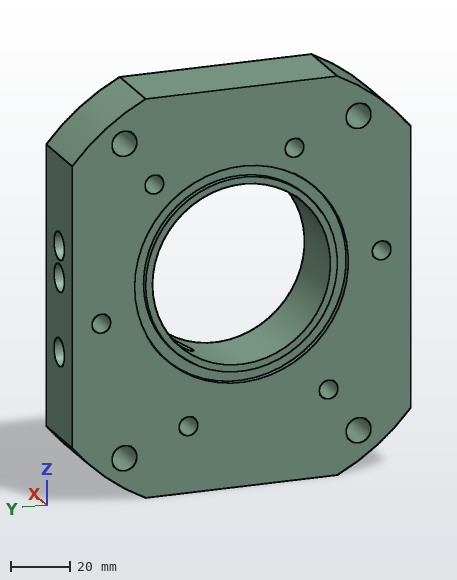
import cadquery as cq
import math

thickness = 25.0
width = 122.0
height = 142.0
corner_circle_radius = 79.0

bore_diameter = 64.0
bore_offset = 4.5
groove_inner_diameter = 69.0
groove_outer_diameter = 77.0
groove_depth = 2.1

corner_hole_diameter = 9.0
corner_hole_y = 42.2
corner_hole_z = 56.0
ring_hole_diameter = 6.7
ring_hole_circle_radius = 51.0
ring_hole_count = 6
ring_hole_start_angle = 172.0

port_diameter = 10.0
port_heights = (-19.9, 6.5, 17.9)

front_x = -thickness / 2


def disc(diameter, y, z, depth):
    """Cylinder along X starting on the -X face of the plate."""
    return (
        cq.Workplane("YZ", origin=(front_x, y, z))
        .circle(diameter / 2)
        .extrude(depth)
    )


def side_port(diameter, z):
    """Cylinder along Y from the bore axis plane out through the +Y side."""
    return (
        cq.Workplane("XZ", origin=(0, 0, z))
        .circle(diameter / 2)
        .extrude(-width / 2)
    )


plate = cq.Workplane("YZ", origin=(front_x, 0, 0)).rect(width, height).extrude(thickness)
plate = plate.intersect(disc(2 * corner_circle_radius, 0, 0, thickness))

plate = plate.cut(disc(bore_diameter, 0, bore_offset, thickness))
groove = disc(groove_outer_diameter, 0, bore_offset, groove_depth).cut(
    disc(groove_inner_diameter, 0, bore_offset, groove_depth)
)
plate = plate.cut(groove)

for side_y in (-1, 1):
    for side_z in (-1, 1):
        plate = plate.cut(
            disc(corner_hole_diameter, side_y * corner_hole_y, side_z * corner_hole_z, thickness)
        )

for index in range(ring_hole_count):
    angle = math.radians(ring_hole_start_angle + index * 360 / ring_hole_count)
    hole_y = ring_hole_circle_radius * math.cos(angle)
    hole_z = ring_hole_circle_radius * math.sin(angle)
    plate = plate.cut(disc(ring_hole_diameter, hole_y, hole_z, thickness))

for port_z in port_heights:
    plate = plate.cut(side_port(port_diameter, port_z))

result = plate